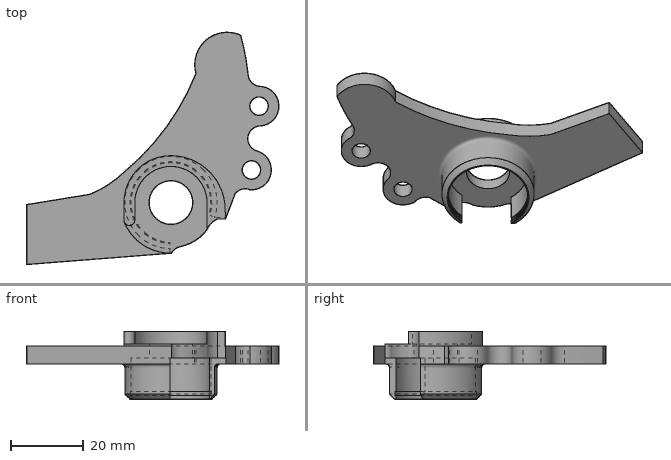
import cadquery as cq
import math

plate_top = 5.0
floor_bottom = 1.7
floor_top = 5.6
wall_top = 9.0
boss_bottom = -9.8

bore_radius = 6.0
disc_radius = 14.0
boss_radius = 12.8
boss_chamfer = 1.5
boss_fillet = 1.0
cavity_radius = 11.0
groove_radius = 11.25
groove_bottom = -8.65
groove_top = -7.6

wall_inner_radius = 10.0
wall_left_radius = 13.0
wall_right_radius = 15.0
wall_end_y = -6.35

arm_left = -39.9
arm_bottom = -17.2
arm_top = -0.55
head_radius = 9.0
head_center = (15.6, 38.1)
head_left_angle = 195.5
head_right_angle = 65.5
ear_radius = 5.5
ear_hole_radius = 2.5
upper_ear = (24.35, 26.65)
lower_ear = (22.3, 9.0)

notch_radius = 12.5
notch_right = (15.1, -4.6)
notch_left = (0.15, -disc_radius)
notch_right_blend_angle = -36.5
notch_left_blend_angle = -79
open_side_x = -0.3
open_side_y = -4.2
open_corner_radius = 2.0
open_corner_x = 12.5
clearance = 20.95


def polar(center, radius, degrees):
    """Point on a circle, at an angle from the X axis."""
    angle = math.radians(degrees)
    return (center[0] + radius * math.cos(angle), center[1] + radius * math.sin(angle))


def cylinder(radius, bottom, top):
    return cq.Workplane("XY").workplane(offset=bottom).circle(radius).extrude(top - bottom)


def trace_notch(path):
    """Continue a path from the right corner of the notch to its left corner."""
    origin = (0, 0)
    middle_angle = (notch_right_blend_angle + notch_left_blend_angle) / 2
    return (
        path.lineTo(12.85, notch_right[1])
        .threePointArc((11.25, -5.65), polar(origin, notch_radius, notch_right_blend_angle))
        .threePointArc(
            polar(origin, notch_radius, middle_angle),
            polar(origin, notch_radius, notch_left_blend_angle),
        )
        .threePointArc((1.1, -12.9), notch_left)
    )


def make_plate():
    path = (
        cq.Workplane("XY")
        .moveTo(arm_left, arm_bottom)
        .lineTo(arm_left, arm_top)
        .lineTo(-22.4, 2.3)
        .threePointArc((-17.45, 4.9), (-12.7, 8.65))
        .threePointArc((-2.15, 19.7), polar(head_center, head_radius, head_left_angle))
        .threePointArc(
            polar(head_center, head_radius, 130),
            polar(head_center, head_radius, head_right_angle),
        )
        .threePointArc((20.5, 41.1), (21.35, 35.5))
        .threePointArc((22.3, 33.3), polar(upper_ear, ear_radius, 92))
        .threePointArc(polar(upper_ear, ear_radius, 0), polar(upper_ear, ear_radius, -86))
        .threePointArc((21.3, 17.7), polar(lower_ear, ear_radius, 72))
        .threePointArc(polar(lower_ear, ear_radius, 0), polar(lower_ear, ear_radius, -94))
        .threePointArc((19.0, 3.4), (17.8, 2.45))
        .lineTo(*notch_right)
    )
    plate = trace_notch(path).close().extrude(plate_top)
    ear_holes = (
        cq.Workplane("XY")
        .pushPoints([upper_ear, lower_ear])
        .circle(ear_hole_radius)
        .extrude(plate_top)
    )
    return plate.cut(ear_holes)


def make_hub_outline(height):
    """Hub up to the given height, round on top and straight down both sides."""
    right_center = (0, wall_left_radius - wall_right_radius)
    return (
        cq.Workplane("XY")
        .moveTo(-wall_left_radius, -disc_radius)
        .lineTo(-wall_left_radius, 0)
        .threePointArc(polar((0, 0), wall_left_radius, 135), (0, wall_left_radius))
        .threePointArc(
            polar(right_center, wall_right_radius, 45),
            (wall_right_radius, right_center[1]),
        )
        .lineTo(*notch_right)
        .lineTo(notch_right[0], -disc_radius)
        .close()
        .extrude(height)
    )


def make_wall_recess():
    """Space inside the hooked wall, leaving a full-round end on its left leg."""
    end_radius = (wall_left_radius - wall_inner_radius) / 2
    end_center_x = -(wall_left_radius + wall_inner_radius) / 2
    return (
        cq.Workplane("XY")
        .workplane(offset=floor_top)
        .moveTo(wall_inner_radius, -clearance)
        .lineTo(wall_inner_radius, 0)
        .threePointArc((0, wall_inner_radius), (-wall_inner_radius, 0))
        .lineTo(-wall_inner_radius, wall_end_y + end_radius)
        .threePointArc((end_center_x, wall_end_y), (-wall_left_radius, wall_end_y + end_radius))
        .lineTo(-wall_left_radius, -clearance)
        .close()
        .extrude(wall_top - floor_top)
    )


def make_boss():
    """Round boss with a chamfered foot and a concave fillet under the plate."""
    fillet_center = (boss_radius + boss_fillet, -boss_fillet)
    return (
        cq.Workplane("XZ")
        .moveTo(0, boss_bottom)
        .lineTo(boss_radius - boss_chamfer, boss_bottom)
        .lineTo(boss_radius, boss_bottom + boss_chamfer)
        .lineTo(boss_radius, -boss_fillet)
        .threePointArc(polar(fillet_center, boss_fillet, 135), (fillet_center[0], 0))
        .lineTo(0, 0)
        .close()
        .revolve(360, (0, 0), (0, 1))
    )


def make_notch():
    path = cq.Workplane("XY").moveTo(*notch_right)
    return (
        trace_notch(path)
        .lineTo(notch_left[0], -clearance)
        .lineTo(clearance, -clearance)
        .lineTo(clearance, notch_right[1])
        .close()
        .extrude(wall_top)
    )


def make_side_opening():
    """Opens the front right of the boss below the floor, with a rounded right corner."""
    corner_center = (open_corner_x, open_side_y + open_corner_radius)
    corner_start = polar(corner_center, open_corner_radius, 180)
    return (
        cq.Workplane("XY")
        .workplane(offset=boss_bottom)
        .moveTo(open_side_x, -clearance)
        .lineTo(open_side_x, corner_start[1])
        .lineTo(*corner_start)
        .threePointArc(
            polar(corner_center, open_corner_radius, 225),
            (open_corner_x, open_side_y),
        )
        .lineTo(clearance, open_side_y)
        .lineTo(clearance, -clearance)
        .close()
        .extrude(floor_bottom - boss_bottom)
    )


hub_round = cylinder(disc_radius, 0, wall_top).union(
    cq.Workplane("XY").rect(clearance, 2 * clearance).extrude(wall_top)
    .translate((clearance / 2, 0, 0))
)
hub = make_hub_outline(wall_top).intersect(hub_round).cut(make_wall_recess()).cut(make_notch())
result = make_plate().union(hub).union(make_boss())
result = result.cut(cylinder(bore_radius, boss_bottom, wall_top))
result = result.cut(cylinder(cavity_radius, boss_bottom, floor_bottom))
result = result.cut(cylinder(groove_radius, groove_bottom, groove_top))
result = result.cut(make_side_opening())